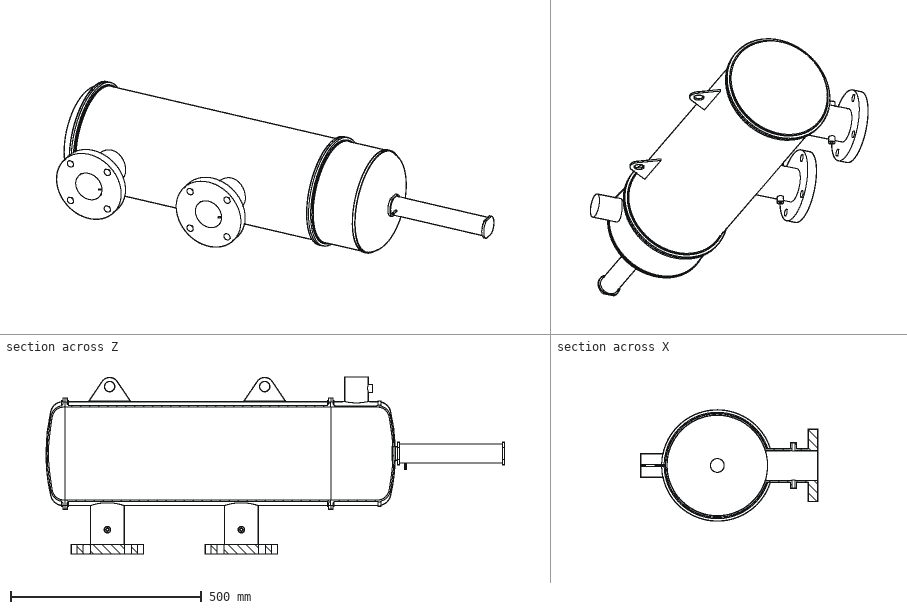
import cadquery as cq
import math

TOTAL_LENGTH = 1202.0
WALL = 5.0

SHELL_RADIUS = 273.0 / 2
LEFT_JOINT_X = 50.0
RIGHT_JOINT_X = 746.0
RIGHT_TIP_X = 916.0

CROWN_SPHERE_RADIUS = 493.0
KNUCKLE_RADIUS = 34.0

FLANGE_RADIUS = 292.0 / 2
FLANGE_WIDTH = 6.0
HUB_RADIUS = 140.0
HUB_WIDTH = 9.0

BEAD_RADIUS = 138.0
BEAD_WIDTH = 7.0

NOZZLE_XS = (161.0, 512.0)
NOZZLE_FACE_Y = -263.0
NOZZLE_RADIUS = 45.0
NOZZLE_BORE_RADIUS = 38.0
PIPE_FLANGE_RADIUS = 95.0
PIPE_FLANGE_THICKNESS = 25.0
BOLT_SPACING = 108.0
BOLT_HOLE_RADIUS = 9.0
SOCKET_Y = -200.0
SOCKET_RADIUS = 8.0
SOCKET_BORE_RADIUS = 4.0
SOCKET_TIP_Z = 60.0

LUG_XS = (167.0, 573.0)
LUG_THICKNESS = 5.0
LUG_BASE_HALF_WIDTH = 55.0
LUG_TOP_RADIUS = 24.0
LUG_HOLE_RADIUS = 13.0
LUG_HOLE_Y = 175.0

BOX_X = 814.0
BOX_RADIUS = 31.0
BOX_TOP_Y = 201.0
STUB_Y = 171.0
STUB_RADIUS = 11.0
STUB_TIP_X = 856.0

DRIVE_RADIUS = 25.0
DRIVE_START_X = 921.0
NECK_RADIUS = 18.0
NECK_INSERTION = 2 * WALL
COLLAR_RADIUS = 30.0
COLLAR_HEIGHT = 52.0
COLLAR_THICKNESS = 6.0
PIN_X = 942.0
PIN_RADIUS = 2.0
PIN_TIP_Y = -42.0


def cylinder(start, direction, radius, length):
    return cq.Workplane(cq.Solid.makeCylinder(radius, length, cq.Vector(*start), cq.Vector(*direction)))


def revolved(profile):
    return profile.close().revolve(360, (0, 0, 0), (1, 0, 0))


def dished_volume(tip_x, inward, end_x, inset):
    """Solid dished end, inset by a wall thickness, with a straight skirt up to end_x.

    inward is +1 when the vessel lies on the +X side of the tip and -1 when it lies on the -X side.
    """
    radius = SHELL_RADIUS - inset
    crown = CROWN_SPHERE_RADIUS - inset
    knuckle = KNUCKLE_RADIUS - inset
    knuckle_center_y = radius - knuckle
    tilt = math.asin(knuckle_center_y / (crown - knuckle))
    knuckle_center_depth = crown - (crown - knuckle) * math.cos(tilt)

    def crown_point(angle):
        return tip_x + inward * (inset + crown * (1 - math.cos(angle))), -crown * math.sin(angle)

    def knuckle_point(angle):
        depth = inset + knuckle_center_depth - knuckle * math.cos(angle)
        return tip_x + inward * depth, -knuckle_center_y - knuckle * math.sin(angle)

    profile = (
        cq.Workplane("XY")
        .moveTo(*crown_point(0))
        .threePointArc(crown_point(tilt / 2), crown_point(tilt))
        .threePointArc(knuckle_point((tilt + math.pi / 2) / 2), knuckle_point(math.pi / 2))
        .lineTo(end_x, -radius)
        .lineTo(end_x, 0)
    )
    return revolved(profile)


def joint_flange(joint_x, side):
    """Flange and hub on one side (+1 or -1 along X) of a joint plane."""
    direction = (side, 0, 0)
    flange = cylinder((joint_x, 0, 0), direction, FLANGE_RADIUS, FLANGE_WIDTH)
    hub = cylinder((joint_x, 0, 0), direction, HUB_RADIUS, HUB_WIDTH)
    return flange.union(hub)


def make_left_head():
    outside = dished_volume(0, 1, LEFT_JOINT_X, 0).union(joint_flange(LEFT_JOINT_X, -1))
    return outside.cut(dished_volume(0, 1, LEFT_JOINT_X, WALL))


def nozzle(x):
    pipe = cylinder((x, 0, 0), (0, -1, 0), NOZZLE_RADIUS, -NOZZLE_FACE_Y)
    flange = cylinder((x, NOZZLE_FACE_Y, 0), (0, 1, 0), PIPE_FLANGE_RADIUS, PIPE_FLANGE_THICKNESS)
    sockets = cylinder((x, SOCKET_Y, -SOCKET_TIP_Z), (0, 0, 1), SOCKET_RADIUS, 2 * SOCKET_TIP_Z)
    body = pipe.union(flange).union(sockets)
    for side_x in (-1, 1):
        for side_z in (-1, 1):
            hole_start = (x + side_x * BOLT_SPACING / 2, NOZZLE_FACE_Y, side_z * BOLT_SPACING / 2)
            body = body.cut(cylinder(hole_start, (0, 1, 0), BOLT_HOLE_RADIUS, PIPE_FLANGE_THICKNESS))
    return body


def nozzle_bores(x):
    bore = cylinder((x, 0, 0), (0, -1, 0), NOZZLE_BORE_RADIUS, -NOZZLE_FACE_Y)
    socket_bore = cylinder((x, SOCKET_Y, -SOCKET_TIP_Z), (0, 0, 1), SOCKET_BORE_RADIUS, 2 * SOCKET_TIP_Z)
    return bore.union(socket_bore)


def make_shell():
    length = RIGHT_JOINT_X - LEFT_JOINT_X
    start = (LEFT_JOINT_X, 0, 0)
    body = cylinder(start, (1, 0, 0), SHELL_RADIUS, length)
    body = body.union(joint_flange(LEFT_JOINT_X, 1)).union(joint_flange(RIGHT_JOINT_X, -1))
    for x in NOZZLE_XS:
        body = body.union(nozzle(x))
    body = body.cut(cylinder(start, (1, 0, 0), SHELL_RADIUS - WALL, length))
    for x in NOZZLE_XS:
        body = body.cut(nozzle_bores(x))
    return body


def make_right_head():
    knuckle_y = SHELL_RADIUS - KNUCKLE_RADIUS
    sphere = CROWN_SPHERE_RADIUS - KNUCKLE_RADIUS
    dish_depth = CROWN_SPHERE_RADIUS - math.sqrt(sphere**2 - knuckle_y**2)
    bead = cylinder((RIGHT_TIP_X - dish_depth, 0, 0), (1, 0, 0), BEAD_RADIUS, BEAD_WIDTH)
    box = cylinder((BOX_X, 0, 0), (0, 1, 0), BOX_RADIUS, BOX_TOP_Y)
    stub = cylinder((BOX_X, STUB_Y, 0), (1, 0, 0), STUB_RADIUS, STUB_TIP_X - BOX_X)
    outside = dished_volume(RIGHT_TIP_X, -1, RIGHT_JOINT_X, 0)
    outside = outside.union(joint_flange(RIGHT_JOINT_X, 1)).union(bead).union(box).union(stub)
    neck_hole = cylinder((RIGHT_TIP_X - NECK_INSERTION, 0, 0), (1, 0, 0), NECK_RADIUS, NECK_INSERTION)
    return outside.cut(dished_volume(RIGHT_TIP_X, -1, RIGHT_JOINT_X, WALL)).cut(neck_hole)


def collar(x):
    """Disc around the drive tube, cut flat at its top and bottom."""
    disc = cylinder((x, 0, 0), (1, 0, 0), COLLAR_RADIUS, COLLAR_THICKNESS)
    flats = cq.Workplane("XY").box(2 * TOTAL_LENGTH, 2 * COLLAR_RADIUS, COLLAR_HEIGHT)
    return disc.intersect(flats)


def make_drive():
    neck_x = RIGHT_TIP_X - NECK_INSERTION
    neck = cylinder((neck_x, 0, 0), (1, 0, 0), NECK_RADIUS, DRIVE_START_X - neck_x)
    tube = cylinder((DRIVE_START_X, 0, 0), (1, 0, 0), DRIVE_RADIUS, TOTAL_LENGTH - DRIVE_START_X)
    pin = cylinder((PIN_X, 0, 0), (0, -1, 0), PIN_RADIUS, -PIN_TIP_Y)
    collars = collar(DRIVE_START_X).union(collar(TOTAL_LENGTH - COLLAR_THICKNESS))
    return tube.union(neck).union(collars).union(pin)


def make_lug(x):
    """Plate with sides tangent to a rounded top, standing on the shell."""
    height = LUG_HOLE_Y - SHELL_RADIUS
    reach = math.hypot(height, LUG_BASE_HALF_WIDTH)
    angle = math.acos(LUG_TOP_RADIUS / reach) - math.atan2(height, LUG_BASE_HALF_WIDTH)
    tangent_x = LUG_TOP_RADIUS * math.cos(angle)
    tangent_y = LUG_HOLE_Y + LUG_TOP_RADIUS * math.sin(angle)
    plate = (
        cq.Workplane("XY", origin=(x, 0, -LUG_THICKNESS / 2))
        .moveTo(-LUG_BASE_HALF_WIDTH, SHELL_RADIUS)
        .lineTo(LUG_BASE_HALF_WIDTH, SHELL_RADIUS)
        .lineTo(tangent_x, tangent_y)
        .threePointArc((0, LUG_HOLE_Y + LUG_TOP_RADIUS), (-tangent_x, tangent_y))
        .close()
        .extrude(LUG_THICKNESS)
    )
    hole = cylinder((x, LUG_HOLE_Y, -LUG_THICKNESS / 2), (0, 0, 1), LUG_HOLE_RADIUS, LUG_THICKNESS)
    return plate.cut(hole)


left_head = make_left_head()
shell = make_shell()
right_head = make_right_head()
drive = make_drive()
lugs = [make_lug(x).val() for x in LUG_XS]

result = cq.Compound.makeCompound([left_head.val(), shell.val(), right_head.val(), drive.val(), *lugs])